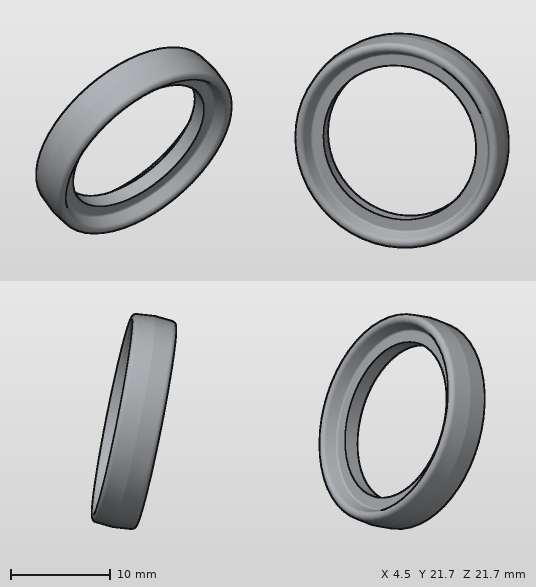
import cadquery as cq
import math

outer_radius = 10.85
bore_radius = 8.02
half_width = 2.25
web_half_thickness = 0.82
lip_radius = 0.5
root_fillet_radius = 0.24
crown_angle = math.radians(5)
recess_angle = math.radians(22)


def point_on_arc(center, radius, angle):
    """Point at an angle measured from the outward radial direction towards the rim."""
    return (center[0] + radius * math.sin(angle), center[1] + radius * math.cos(angle))


lip_x = half_width - lip_radius
lip_center = (lip_x, outer_radius - lip_x * math.tan(crown_angle) - lip_radius / math.cos(crown_angle))
lip_start = point_on_arc(lip_center, lip_radius, crown_angle)
lip_tip = point_on_arc(lip_center, lip_radius, math.pi / 2)
lip_end = point_on_arc(lip_center, lip_radius, math.pi - recess_angle)

root_x = web_half_thickness + root_fillet_radius
wall_offset = lip_radius + root_fillet_radius + (lip_x - root_x) * math.sin(recess_angle)
root_center = (root_x, lip_center[1] - wall_offset / math.cos(recess_angle))
root_mid_angle = -(recess_angle + math.pi / 2) / 2
root_start = point_on_arc(root_center, root_fillet_radius, -recess_angle)
root_mid = point_on_arc(root_center, root_fillet_radius, root_mid_angle)
root_end = point_on_arc(root_center, root_fillet_radius, -math.pi / 2)

half_ring = (
    cq.Workplane("XY")
    .moveTo(0, bore_radius)
    .lineTo(0, outer_radius)
    .lineTo(*lip_start)
    .threePointArc(lip_tip, lip_end)
    .lineTo(*root_start)
    .threePointArc(root_mid, root_end)
    .lineTo(web_half_thickness, bore_radius)
    .close()
    .revolve(360, (0, 0, 0), (1, 0, 0))
)
result = half_ring.union(half_ring.mirror("YZ"))